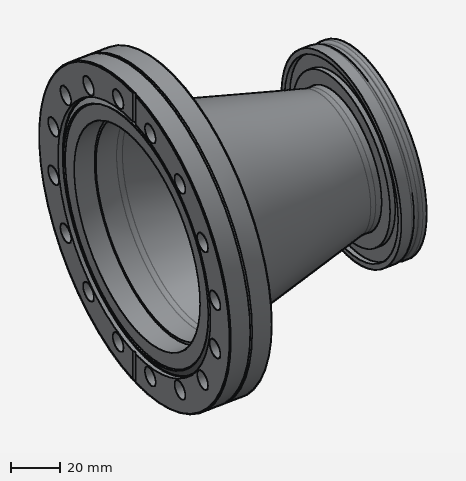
import cadquery as cq
import math

TOTAL_LENGTH = 109.5

FLANGE_DIAMETER = 151.6
FLANGE_THICKNESS = 20.0
FLANGE_BORE = 99.6
FLANGE_SOCKET = 101.9
RIM_CHAMFER = 0.5
RIM_GROOVE_RADIUS = 0.5
SEAL_RECESS_DIAMETER = 120.7
SEAL_RECESS_DEPTH = 2.1
SEAL_FLOOR_WIDTH = 0.5
KNIFE_TIP_DIAMETER = 114.6
KNIFE_TIP_DEPTH = 0.8
SEAL_FACE_DEPTH = 1.4
KNIFE_ROOT_DIAMETER = 113.7
BOLT_HOLE_COUNT = 16
BOLT_HOLE_DIAMETER = 8.5
BOLT_CIRCLE_DIAMETER = 130.2
LEAK_GROOVE_RADIUS = 1.4
LEAK_GROOVE_DEPTH = 0.53

WIDE_OUTER_RADIUS = 101.5 / 2
WIDE_INNER_RADIUS = 97.3 / 2
NARROW_OUTER_RADIUS = 63.5 / 2
NARROW_INNER_RADIUS = 60.2 / 2
TUBE_START = 10.9
WIDE_OUTER_BEND_CORNER = 21.2
WIDE_INNER_BEND_CORNER = 21.8
NARROW_BEND_CORNER = 93.4
BEND_RADIUS = 10.0

CLAMP_DIAMETER = 95.0
CLAMP_THICKNESS = 12.0
CLAMP_BORE = 63.8
CLAMP_GROOVE_START = 2.0
CLAMP_GROOVE_WIDTH = 5.0
CLAMP_GROOVE_LIP_RADIUS = 1.7
CLAMP_GROOVE_FLOOR_RADIUS = 1.0
BACK_RECESS_OUTER = 89.9
BACK_RECESS_INNER = 77.2
BACK_RECESS_DEPTH = 2.5


def revolve_about_y(profile):
    """Turn a closed (radius, y) outline into a solid of revolution."""
    return profile.close().revolve(360, (0, 0), (0, 1))


def tapered_plug(wide_radius, narrow_radius, wide_corner):
    """Solid plug: wide cylinder, cone and narrow cylinder, with rounded bends between them."""
    taper = math.atan2(wide_radius - narrow_radius, NARROW_BEND_CORNER - wide_corner)
    tangent = BEND_RADIUS * math.tan(taper / 2)

    def along_cone(radius, y, distance):
        return radius - distance * math.sin(taper), y + distance * math.cos(taper)

    profile = (
        cq.Workplane("XY")
        .moveTo(0, TUBE_START)
        .lineTo(wide_radius, TUBE_START)
        .lineTo(wide_radius, wide_corner - tangent)
        .tangentArcPoint(along_cone(wide_radius, wide_corner, tangent), relative=False)
        .lineTo(*along_cone(narrow_radius, NARROW_BEND_CORNER, -tangent))
        .tangentArcPoint((narrow_radius, NARROW_BEND_CORNER + tangent), relative=False)
        .lineTo(narrow_radius, TOTAL_LENGTH)
        .lineTo(0, TOTAL_LENGTH)
    )
    return revolve_about_y(profile)


def make_reducer_tube():
    outside = tapered_plug(WIDE_OUTER_RADIUS, NARROW_OUTER_RADIUS, WIDE_OUTER_BEND_CORNER)
    inside = tapered_plug(WIDE_INNER_RADIUS, NARROW_INNER_RADIUS, WIDE_INNER_BEND_CORNER)
    return outside.cut(inside)


def make_bolted_flange():
    rim = FLANGE_DIAMETER / 2
    middle = FLANGE_THICKNESS / 2
    recess = SEAL_RECESS_DIAMETER / 2
    body = revolve_about_y(
        cq.Workplane("XY")
        .moveTo(FLANGE_BORE / 2, SEAL_FACE_DEPTH)
        .lineTo(KNIFE_ROOT_DIAMETER / 2, SEAL_FACE_DEPTH)
        .lineTo(KNIFE_TIP_DIAMETER / 2, KNIFE_TIP_DEPTH)
        .lineTo(recess - SEAL_FLOOR_WIDTH, SEAL_RECESS_DEPTH)
        .lineTo(recess, SEAL_RECESS_DEPTH)
        .lineTo(recess, 0)
        .lineTo(rim - RIM_CHAMFER, 0)
        .lineTo(rim, RIM_CHAMFER)
        .lineTo(rim, middle - RIM_GROOVE_RADIUS)
        .threePointArc((rim - RIM_GROOVE_RADIUS, middle), (rim, middle + RIM_GROOVE_RADIUS))
        .lineTo(rim, FLANGE_THICKNESS - RIM_CHAMFER)
        .lineTo(rim - RIM_CHAMFER, FLANGE_THICKNESS)
        .lineTo(FLANGE_SOCKET / 2, FLANGE_THICKNESS)
        .lineTo(FLANGE_SOCKET / 2, TUBE_START)
        .lineTo(FLANGE_BORE / 2, TUBE_START)
    )
    bolt_holes = (
        cq.Workplane("XZ")
        .polarArray(BOLT_CIRCLE_DIAMETER / 2, 180 / BOLT_HOLE_COUNT, 360, BOLT_HOLE_COUNT)
        .circle(BOLT_HOLE_DIAMETER / 2)
        .extrude(-FLANGE_THICKNESS)
    )
    groove_start = recess - SEAL_FLOOR_WIDTH
    leak_groove = (
        cq.Workplane("XY", origin=(0, LEAK_GROOVE_DEPTH - LEAK_GROOVE_RADIUS, groove_start))
        .circle(LEAK_GROOVE_RADIUS)
        .extrude(rim - groove_start)
    )
    body = body.cut(bolt_holes)
    for turn in (0, 180):
        body = body.cut(leak_groove.rotate((0, 0, 0), (0, 1, 0), turn))
    return body


def make_clamp_flange():
    rim = CLAMP_DIAMETER / 2
    back = TOTAL_LENGTH - CLAMP_THICKNESS
    recess_floor = back + BACK_RECESS_DEPTH
    groove_end = TOTAL_LENGTH - CLAMP_GROOVE_START
    groove_start = groove_end - CLAMP_GROOVE_WIDTH
    slope = math.asin(CLAMP_GROOVE_WIDTH / 2 / (CLAMP_GROOVE_LIP_RADIUS + CLAMP_GROOVE_FLOOR_RADIUS))
    lip_width = CLAMP_GROOVE_LIP_RADIUS * math.sin(slope)
    lip_depth = CLAMP_GROOVE_LIP_RADIUS * (1 - math.cos(slope))
    profile = (
        cq.Workplane("XY")
        .moveTo(CLAMP_BORE / 2, back)
        .lineTo(BACK_RECESS_INNER / 2, back)
        .lineTo(BACK_RECESS_INNER / 2, recess_floor)
        .lineTo(BACK_RECESS_OUTER / 2, recess_floor)
        .lineTo(BACK_RECESS_OUTER / 2, back)
        .lineTo(rim, back)
        .lineTo(rim, groove_start)
        .tangentArcPoint((rim - lip_depth, groove_start + lip_width), relative=False)
        .tangentArcPoint((rim - lip_depth, groove_end - lip_width), relative=False)
        .tangentArcPoint((rim, groove_end), relative=False)
        .lineTo(rim, TOTAL_LENGTH)
        .lineTo(CLAMP_BORE / 2, TOTAL_LENGTH)
    )
    return revolve_about_y(profile)


reducer_tube = make_reducer_tube()
bolted_flange = make_bolted_flange()
clamp_flange = make_clamp_flange()

result = cq.Compound.makeCompound([reducer_tube.val(), bolted_flange.val(), clamp_flange.val()])